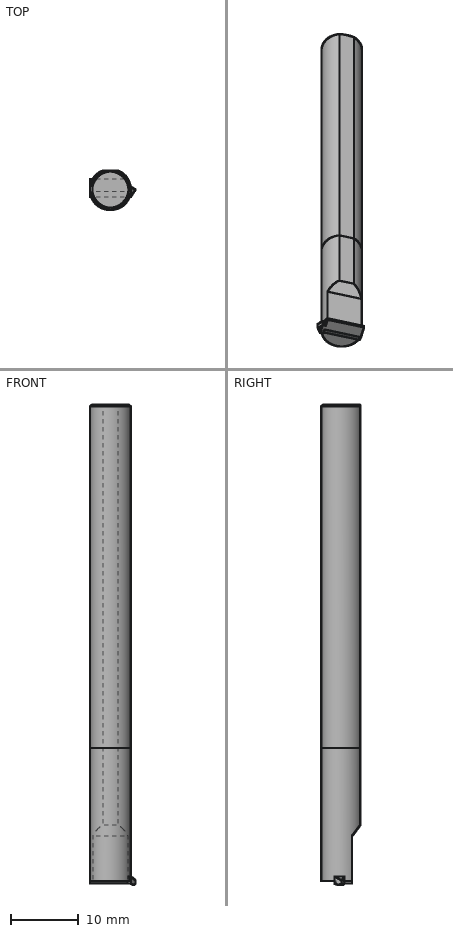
import cadquery as cq

total_length = 71.0
bar_diameter = 6.0
bar_radius = bar_diameter / 2
flat_depth = 0.2
flat_y = bar_radius - flat_depth
top_chamfer_width = 0.35
top_chamfer_height = 0.3
neck_top = 20.2
neck_bottom = 0.6

gash_y = 1.55
gash_ramp_bottom = 7.25
gash_ramp_top = 8.9

plate_bottom = 0.2
land_y = -0.3
heel_y = -1.1

tooth_overhang = 0.7
tooth_tip_x = bar_radius + tooth_overhang
tooth_tip_y = 0.0
tooth_low_x = 3.4
tooth_top = 1.3
tooth_flank_top = 0.7
tooth_root_x = 2.55
tooth_front_y = 0.4
tooth_back_y = heel_y


def round_bar(bottom, top):
    """Cylinder between two heights with the locating flat on +Y."""
    height = top - bottom
    bar = cq.Workplane("XY").workplane(offset=bottom).circle(bar_radius).extrude(height)
    flat_envelope = (
        cq.Workplane("XY")
        .workplane(offset=bottom)
        .center(0, -flat_depth)
        .rect(bar_diameter, bar_diameter)
        .extrude(height)
    )
    return bar.intersect(flat_envelope)


def make_shank():
    """Upper bar with a conical chamfer on its top rim."""
    chamfer_envelope = (
        cq.Workplane("XZ")
        .moveTo(0, neck_top)
        .lineTo(bar_radius, neck_top)
        .lineTo(bar_radius, total_length - top_chamfer_height)
        .lineTo(bar_radius - top_chamfer_width, total_length)
        .lineTo(0, total_length)
        .close()
        .revolve(360, (0, 0), (0, 1))
    )
    return round_bar(neck_top, total_length).intersect(chamfer_envelope)


def make_tooth():
    """Pointed plan shape trimmed to the tooth's bevelled side profile."""
    plan = (
        cq.Workplane("XY")
        .polyline([
            (tooth_root_x, tooth_front_y),
            (bar_radius, tooth_front_y),
            (tooth_tip_x, tooth_tip_y),
            (bar_radius, tooth_back_y),
            (tooth_root_x, tooth_back_y),
        ])
        .close()
        .extrude(tooth_top)
    )
    profile = (
        cq.Workplane("XZ")
        .polyline([
            (tooth_root_x, plate_bottom),
            (bar_radius, plate_bottom),
            (tooth_low_x, 0),
            (tooth_tip_x, plate_bottom),
            (tooth_tip_x, tooth_flank_top),
            (bar_radius, tooth_top),
            (tooth_root_x, tooth_top),
        ])
        .close()
        .extrude(bar_radius, both=True)
    )
    return plan.intersect(profile)


def make_insert():
    """Plate across the neck's underside, joined to the side tooth."""
    plate = (
        cq.Workplane("YZ")
        .polyline([
            (gash_y, neck_bottom),
            (gash_y, plate_bottom),
            (land_y, plate_bottom),
            (heel_y, neck_bottom),
        ])
        .close()
        .extrude(bar_radius + tooth_root_x)
        .translate((-bar_radius, 0, 0))
    )
    return plate.union(make_tooth())


def make_neck(insert):
    """Lower bar with the chip gash and a seat for the insert."""
    side_profile = (
        cq.Workplane("YZ")
        .polyline([
            (gash_y, neck_bottom),
            (gash_y, gash_ramp_bottom),
            (flat_y, gash_ramp_top),
            (flat_y, neck_top),
            (-bar_radius, neck_top),
            (-bar_radius, neck_bottom),
        ])
        .close()
        .extrude(bar_radius, both=True)
    )
    return round_bar(neck_bottom, neck_top).intersect(side_profile).cut(insert)


shank = make_shank()
insert = make_insert()
neck = make_neck(insert)

result = cq.Compound.makeCompound([shank.val(), neck.val(), insert.val()])